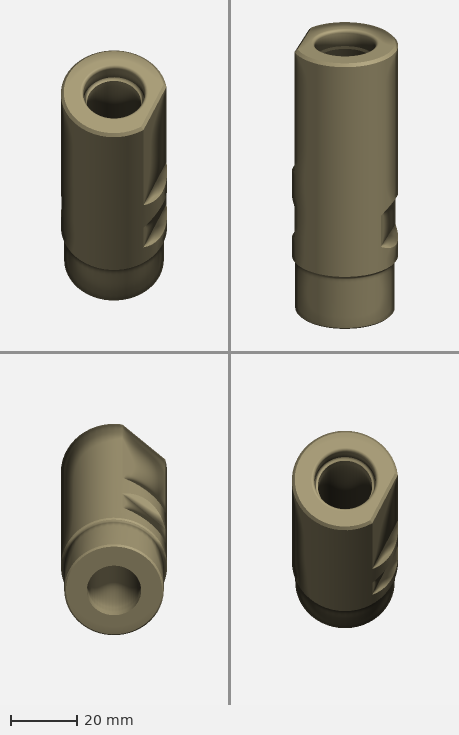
import cadquery as cq
import math

length = 88.0
body_radius = 32.0 / 2
top_chamfer = 0.9

spigot_radius = 30.0 / 2
spigot_chamfer = 0.5
shoulder_z = 17.4
shoulder_chamfer = 0.4
shoulder_round_height = 0.8

bore_radius = 16.4 / 2
mouth_radius = 18.5 / 2
mouth_depth = 5.3
seat_drop = 0.4
mouth_rounding = 1.0

flat_distance = 13.5
flat_cut_depth = body_radius - flat_distance
wrench_flat_bottom = 25.9
wrench_flat_top = 36.2
long_flat_bottom = 47.9
long_flat_chamfer = 0.9


def make_body():
    """Revolve the chamfered outer profile with its rounded shoulder."""
    arc_start = (spigot_radius, shoulder_z - shoulder_round_height)
    arc_end = (body_radius - shoulder_chamfer, shoulder_z)
    return (
        cq.Workplane("XZ")
        .lineTo(spigot_radius - spigot_chamfer, 0)
        .lineTo(spigot_radius, spigot_chamfer)
        .lineTo(*arc_start)
        .tangentArcPoint(arc_end, relative=False)
        .lineTo(body_radius, shoulder_z + shoulder_chamfer)
        .lineTo(body_radius, length - top_chamfer)
        .lineTo(body_radius - top_chamfer, length)
        .lineTo(0, length)
        .close()
        .revolve(360, (0, 0), (0, 1))
    )


def make_bore():
    """Revolve the bore, its conical seat and the rounded mouth."""
    seat_z = length - mouth_depth
    rounding_z = length - mouth_rounding
    rounding_middle = (
        mouth_radius + mouth_rounding * (1 - math.cos(math.pi / 4)),
        rounding_z + mouth_rounding * math.sin(math.pi / 4),
    )
    return (
        cq.Workplane("XZ")
        .lineTo(bore_radius, 0)
        .lineTo(bore_radius, seat_z - seat_drop)
        .lineTo(mouth_radius, seat_z)
        .lineTo(mouth_radius, rounding_z)
        .threePointArc(rounding_middle, (mouth_radius + mouth_rounding, length))
        .lineTo(0, length)
        .close()
        .revolve(360, (0, 0), (0, 1))
    )


def extrude_across(points):
    """Extrude an XZ outline across the full width of the body."""
    return cq.Workplane("XZ").polyline(points).close().extrude(body_radius, both=True)


def make_wrench_flat(side):
    """Cutter for one wrench flat; side is +1 for +X and -1 for -X."""
    return extrude_across([
        (side * flat_distance, wrench_flat_bottom),
        (side * body_radius, wrench_flat_bottom - flat_cut_depth),
        (side * body_radius, wrench_flat_top + flat_cut_depth),
        (side * flat_distance, wrench_flat_top),
    ])


def make_long_flat():
    """Cutter for the flat on +X that runs out through the chamfered top edge."""
    return extrude_across([
        (flat_distance, long_flat_bottom),
        (body_radius, long_flat_bottom - flat_cut_depth),
        (body_radius, length),
        (flat_distance - long_flat_chamfer, length),
        (flat_distance, length - long_flat_chamfer),
    ])


result = make_body().cut(make_bore()).cut(make_long_flat())
for side in (-1, 1):
    result = result.cut(make_wrench_flat(side))